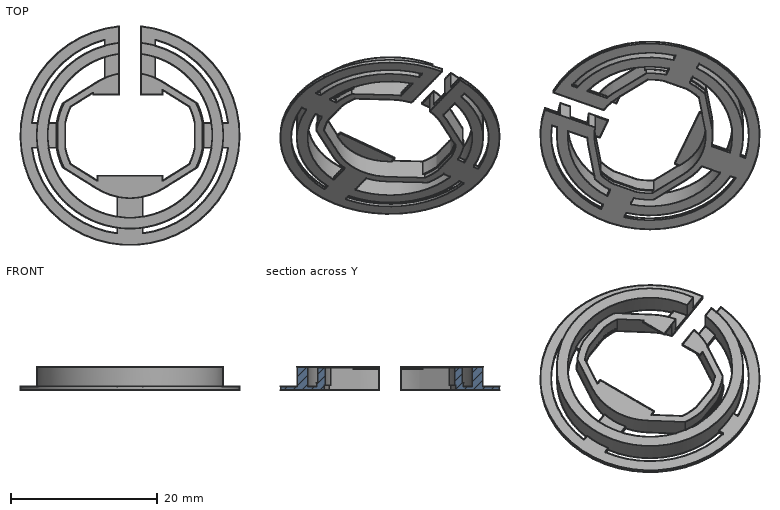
import cadquery as cq
import math

flange_radius = 15.0
flange_inner_radius = 13.5
base_thickness = 0.5
ring_radius = 12.75
ring_inner_radius = 11.25
ring_height = 3.18

frame_height = 3.1
frame_end_radius = 8.58
frame_side_radius = 10.05
frame_wall_end = 0.95
frame_wall_side = 1.05
foot_shift = 0.15
foot_outer_height = 1.02
foot_inner_height = 0.65
flank_angle = math.radians(32)

side_spoke_width = 3.45
bottom_spoke_width = 3.5
split_spoke_width = 6.95
gap_width = 3.0
tab_thickness = 0.2
tab_half_width = 4.47
split_tab_left = 5.05
split_tab_edge = 5.58
bottom_tab_edge = 5.5


def annulus(outer, inner, height):
    return cq.Workplane("XY").circle(outer).circle(inner).extrude(height)


def block(x_min, x_max, y_min, y_max, height, z_min=0.0):
    size = (x_max - x_min, y_max - y_min, height)
    return cq.Workplane("XY").box(*size, centered=False).translate((x_min, y_min, z_min))


def frame_solid(end_radius, side_radius, height):
    """Solid with round ends, tangent straight flanks and round sides with a central flat."""
    tangent_x = end_radius * math.sin(flank_angle)
    tangent_y = end_radius * math.cos(flank_angle)
    corner_angle = math.pi / 2 - flank_angle - math.acos(end_radius / side_radius)
    flat_angle = math.asin(side_spoke_width / 2 / side_radius)

    def on_side(angle):
        return side_radius * math.cos(angle), side_radius * math.sin(angle)

    corner_x, corner_y = on_side(corner_angle)
    flat_x, flat_y = on_side(flat_angle)
    middle_x, middle_y = on_side((corner_angle + flat_angle) / 2)
    return (
        cq.Workplane("XY")
        .moveTo(-tangent_x, tangent_y)
        .threePointArc((0, end_radius), (tangent_x, tangent_y))
        .lineTo(corner_x, corner_y)
        .threePointArc((middle_x, middle_y), (flat_x, flat_y))
        .lineTo(flat_x, -flat_y)
        .threePointArc((middle_x, -middle_y), (corner_x, -corner_y))
        .lineTo(tangent_x, -tangent_y)
        .threePointArc((0, -end_radius), (-tangent_x, -tangent_y))
        .lineTo(-corner_x, -corner_y)
        .threePointArc((-middle_x, -middle_y), (-flat_x, -flat_y))
        .lineTo(-flat_x, flat_y)
        .threePointArc((-middle_x, middle_y), (-corner_x, corner_y))
        .close()
        .extrude(height)
    )


frame_outer = frame_solid(frame_end_radius, frame_side_radius, frame_height)
frame_foot = frame_solid(frame_end_radius, frame_side_radius + foot_shift, foot_outer_height)
opening_end_radius = frame_end_radius - frame_wall_end
opening_side_radius = frame_side_radius - frame_wall_side
frame_opening = frame_solid(opening_end_radius, opening_side_radius, frame_height)
foot_opening = frame_solid(opening_end_radius, opening_side_radius + foot_shift, foot_inner_height)

spoke_reach = (flange_radius + flange_inner_radius) / 2
spokes = (
    block(-spoke_reach, spoke_reach, -side_spoke_width / 2, side_spoke_width / 2, base_thickness)
    .union(block(-bottom_spoke_width / 2, bottom_spoke_width / 2, -spoke_reach, 0, base_thickness))
    .union(block(-split_spoke_width / 2, split_spoke_width / 2, 0, spoke_reach, base_thickness))
)

tab_z = frame_height - tab_thickness
tabs = (
    block(-tab_half_width, tab_half_width, -frame_end_radius, -bottom_tab_edge, tab_thickness, tab_z)
    .union(block(-split_tab_left, tab_half_width, split_tab_edge, frame_end_radius, tab_thickness, tab_z))
    .intersect(frame_outer)
)

gap = block(-gap_width / 2, gap_width / 2, 0, flange_radius, ring_height)

result = (
    annulus(flange_radius, flange_inner_radius, base_thickness)
    .union(annulus(ring_radius, ring_inner_radius, ring_height))
    .union(spokes)
    .union(frame_outer)
    .union(frame_foot)
    .cut(frame_opening)
    .cut(foot_opening)
    .union(tabs)
    .cut(gap)
)